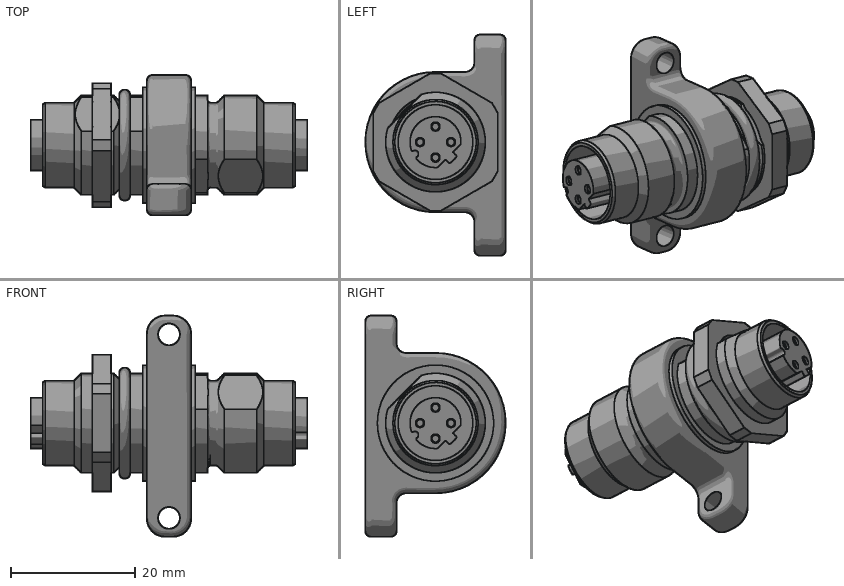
import cadquery as cq
import math


insert_end = 22.25
shell_end = 20.35
shell_radius = 6.85
shell_chamfer_length = 0.45
shell_chamfer_height = 0.3
barrel_radius = 8.0
barrel_inner_end = 8.9
barrel_outer_end = 14.1
cone_length = barrel_radius - shell_radius
collar_radius = 9.35
collar_half_width = 4.23
groove_shoulder = 6.25
groove_root_fillet = 0.4

flat_distance = 7.05
flat_angle = 45.0
bore_radius = 6.0
bore_depth = 8.9

insert_radius = 4.1
key_chord_distance = 3.1
key_width = 1.7
key_angle = 225.0
notch_radius = 0.6
notch_center_radius = 3.83
notch_angle = 330.0
insert_edge_fillet = 0.2
contact_count = 4
contact_circle_radius = 2.5
contact_hole_radius = 0.6
contact_hole_depth = 4.45
contact_mouth_radius = 0.7
contact_mouth_depth = 0.45

nut_outer_face = 12.33
nut_width = 3.03
nut_across_flats = 20.0
nut_across_cut_corners = 22.03
nut_bore_radius = 7.55

bracket_width = 7.15
saddle_radius = 11.3
plate_thickness = 5.07
plate_length = 35.6
plate_center_z = -0.5
plate_corner_radius = 3.0
saddle_blend_radius = 1.45
bracket_edge_fillet = 1.0
mount_hole_radius = 1.75
mount_hole_spacing = 29.5

ring_section_radius = 0.9
ring_outer_radius = 8.95


def polar_yz(radius, angle):
    """Y and Z of a point around the connector axis, with the angle measured from +Y towards +Z."""
    turn = math.radians(angle)
    return radius * math.cos(turn), radius * math.sin(turn)


def block_beyond(distance, angle, x_start, x_end):
    """A wide block outside a plane that lies parallel to the axis, used to cut flats."""
    size = 2 * collar_radius
    block = cq.Workplane("XY").box(x_end - x_start, size, size)
    block = block.translate(((x_start + x_end) / 2, distance + size / 2, 0))
    return block.rotate((0, 0, 0), (1, 0, 0), angle)


def turned_half():
    """Collar, groove, barrel and shell of the half on the -X side."""
    outline = [
        (0, 0),
        (0, collar_radius),
        (-collar_half_width, collar_radius),
        (-collar_half_width, barrel_radius),
        (-groove_shoulder, barrel_radius),
        (-groove_shoulder, shell_radius),
        (-(barrel_inner_end - cone_length), shell_radius),
        (-barrel_inner_end, barrel_radius),
        (-barrel_outer_end, barrel_radius),
        (-(barrel_outer_end + cone_length), shell_radius),
        (-(shell_end - shell_chamfer_length), shell_radius),
        (-shell_end, shell_radius - shell_chamfer_height),
        (-shell_end, 0),
    ]
    body = cq.Workplane("XY").polyline(outline).close().revolve(360, (0, 0, 0), (1, 0, 0))
    groove_middle = ((-(barrel_inner_end - cone_length) - groove_shoulder) / 2, shell_radius, 0)
    groove_floor = body.faces(cq.selectors.NearestToPointSelector(groove_middle))
    body = groove_floor.edges("%CIRCLE").fillet(groove_root_fillet)
    barrel_flat = block_beyond(
        flat_distance, flat_angle, -(barrel_outer_end + cone_length), -collar_half_width
    )
    return body.cut(barrel_flat)


def contact_insert():
    """Keyed insert with its contact holes, reaching from the bore floor to the end of the part."""
    x_floor = -(shell_end - bore_depth)
    length = insert_end + x_floor
    insert = cq.Workplane("YZ", origin=(-insert_end, 0, 0)).circle(insert_radius).extrude(length)

    key = cq.Workplane("XY").box(2 * length, 2 * insert_radius, key_width)
    key = key.translate((-insert_end, insert_radius, 0)).rotate((0, 0, 0), (1, 0, 0), key_angle)
    insert = insert.cut(block_beyond(key_chord_distance, key_angle, -insert_end, x_floor).cut(key))

    notch = cq.Workplane("YZ", origin=(-insert_end, 0, 0))
    notch = notch.center(*polar_yz(notch_center_radius, notch_angle)).circle(notch_radius).extrude(length)
    insert = insert.cut(notch)

    key_half_angle = math.degrees(math.asin(key_width / 2 / insert_radius))
    notch_cosine = insert_radius**2 + notch_center_radius**2 - notch_radius**2
    notch_cosine /= 2 * insert_radius * notch_center_radius
    notch_half_angle = math.degrees(math.acos(notch_cosine))
    for angle, half_angle in ((key_angle, key_half_angle), (notch_angle, notch_half_angle)):
        for side in (-1, 1):
            corner = (-insert_end + length / 2, *polar_yz(insert_radius, angle + side * half_angle))
            corner_edge = insert.edges("|X").edges(cq.selectors.NearestToPointSelector(corner))
            insert = corner_edge.fillet(insert_edge_fillet)

    def contact_pattern(radius, depth):
        face = cq.Workplane("YZ", origin=(-insert_end, 0, 0))
        return face.polarArray(contact_circle_radius, 0, 360, contact_count).circle(radius).extrude(depth)

    holes = contact_pattern(contact_hole_radius, contact_hole_depth)
    mouths = contact_pattern(contact_mouth_radius, contact_mouth_depth)
    return insert.cut(holes).cut(mouths)


def connector_half():
    """Half on the -X side: turned shell with an open socket around the contact insert."""
    bore = cq.Workplane("YZ", origin=(-shell_end, 0, 0)).circle(bore_radius).extrude(bore_depth)
    return turned_half().cut(bore).union(contact_insert())


def hex_nut():
    """Hexagon with flats facing +Y and -Y, its corners cut off by a second hexagon."""
    def hexagon(across_flats, turn):
        across_corners = across_flats / math.cos(math.radians(30))
        prism = cq.Workplane("YZ", origin=(-nut_outer_face, 0, 0))
        prism = prism.polygon(6, across_corners).extrude(nut_width)
        return prism.rotate((0, 0, 0), (1, 0, 0), turn)

    nut = hexagon(nut_across_flats, 30).intersect(hexagon(nut_across_cut_corners, 0))
    bore = cq.Workplane("YZ", origin=(-nut_outer_face, 0, 0)).circle(nut_bore_radius).extrude(nut_width)
    return nut.cut(bore)


def mounting_bracket():
    """Round saddle joined to a rounded plate at the -Y side, with two screw holes along Y."""
    front_y = -saddle_radius
    back_y = front_y + plate_thickness
    top_z = plate_center_z + plate_length / 2
    bottom_z = plate_center_z - plate_length / 2
    blend_y = back_y + saddle_blend_radius
    blend_z = saddle_radius + saddle_blend_radius
    blend_mid = saddle_blend_radius * math.sqrt(0.5)

    profile = (
        cq.Workplane("YZ", origin=(-bracket_width / 2, 0, 0))
        .moveTo(front_y, bottom_z)
        .lineTo(front_y, top_z)
        .lineTo(back_y, top_z)
        .lineTo(back_y, blend_z)
        .threePointArc((blend_y - blend_mid, blend_z - blend_mid), (blend_y, saddle_radius))
        .lineTo(0, saddle_radius)
        .threePointArc((saddle_radius, 0), (0, -saddle_radius))
        .lineTo(blend_y, -saddle_radius)
        .threePointArc((blend_y - blend_mid, blend_mid - blend_z), (back_y, -blend_z))
        .lineTo(back_y, bottom_z)
        .close()
    )
    bracket = profile.extrude(bracket_width)

    plate_corners = bracket.faces(">Z or <Z").edges("|Y")
    bracket = plate_corners.fillet(plate_corner_radius)

    bracket = bracket.faces("<Y").edges().fillet(bracket_edge_fillet)
    bracket = bracket.faces(">X").edges(">Y").fillet(bracket_edge_fillet)

    holes = cq.Workplane("XZ", origin=(0, blend_y, plate_center_z))
    holes = holes.rarray(0.45, mount_hole_spacing, 1, 2).circle(mount_hole_radius).extrude(blend_y - front_y)
    return bracket.cut(holes)


def make_housing():
    """Bracket, nut and two equal connector halves, the second turned half a turn about Z."""
    near_half = connector_half()
    far_half = near_half.rotate((0, 0, 0), (0, 0, 1), 180)
    return near_half.union(far_half).union(hex_nut()).union(mounting_bracket())


def make_o_ring():
    """Sealing ring resting against the groove shoulder of the -X half."""
    ring_x = -(groove_shoulder + ring_section_radius)
    ring_center_radius = ring_outer_radius - ring_section_radius
    section = cq.Workplane("XY").moveTo(ring_x, ring_center_radius).circle(ring_section_radius)
    return section.revolve(360, (0, 0, 0), (1, 0, 0))


housing = make_housing()
o_ring = make_o_ring()

result = cq.Compound.makeCompound([housing.solids().val(), o_ring.solids().val()])